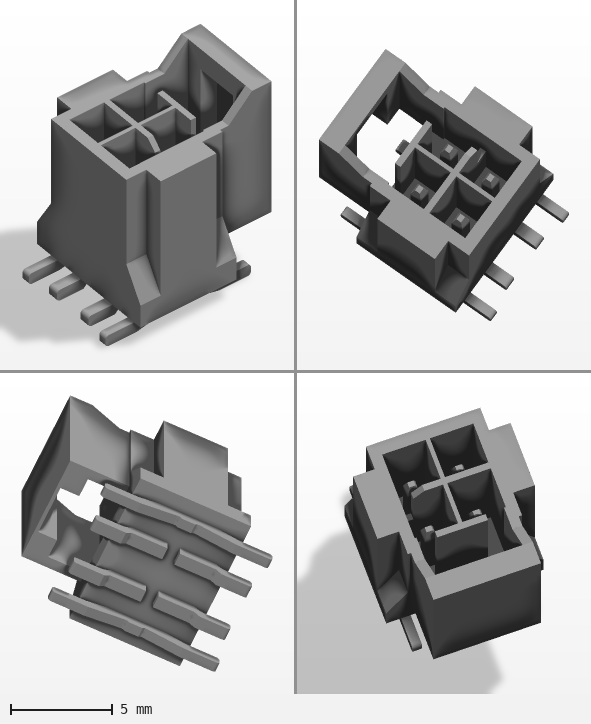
import cadquery as cq

total_width = 8.22
total_length = 10.75
total_height = 11.16

housing_length = 6.0
housing_bottom = 1.0
housing_top = 9.69
housing_back = housing_length / 2

relief_depth = 1.13
relief_length = 1.26
relief_ramp_bottom = 2.4
relief_ramp_top = 4.32

bail_width = 5.62
bail_opening_width = 4.58
bail_wall = 1.2
bail_bottom = 2.82
bail_window_width = 2.58
bail_window_top = 9.87
bail_window_skin = 0.19

cavity_width = 4.77
cavity_length = 4.66
cavity_floor = bail_bottom
lengthwise_partition = 0.22
crosswise_partition = 0.33
guard_width = 2.66
guard_thickness = 0.33
gap_start = 1.08
gap_chamfer = 0.58
gap_bottom = (cavity_floor + housing_top) / 2

pin_pitch = 2.5
pin_size = 0.64
pin_top = 7.25
pin_tip_height = 0.7
pin_tip_width = 0.33
pin_tip_length = 0.28

foot_height = 0.68
foot_radius = 0.2
foot_inner_end = 2.59
lead_underside = 0.3
signal_lead_reach = 4.25
signal_lead_inner_end = 0.33
signal_bend_start = 2.9
signal_bend_end = 2.3
anchor_spacing = 6.09
anchor_width = 0.5
anchor_slope_start = 2.72
anchor_top_half = 1.58
anchor_tab_half = 0.36
anchor_notch_half = 0.48
anchor_slope_half = 0.59
anchor_notch_top = 0.44

anchor_reach = 4.54
bail_back = total_length - anchor_reach


def block(x_range, y_range, z_range):
    """Box spanning the given ranges along each axis."""
    corners = list(zip(x_range, y_range, z_range))
    size = [high - low for low, high in zip(*corners)]
    return cq.Workplane("XY").box(*size, centered=False).translate(corners[0])


def centred(width):
    """Range of the given width about zero."""
    return (-width / 2, width / 2)


def along_x(outline, x_middle, width):
    """Extrude a closed (Y, Z) outline along X, centred on x_middle."""
    profile = cq.Workplane("YZ").polyline(outline).close()
    return profile.extrude(width / 2, both=True).translate((x_middle, 0, 0))


def housing_block():
    """Solid housing with a relief, ramped at its lower end, at each upright corner."""
    body = block(centred(total_width), centred(housing_length), (housing_bottom, housing_top))
    outer = total_width / 2
    inner = outer - relief_depth
    relief = (
        cq.Workplane("XZ", origin=(0, housing_back, 0))
        .polyline([
            (outer, relief_ramp_bottom),
            (inner, relief_ramp_top),
            (inner, housing_top),
            (outer, housing_top),
        ])
        .close()
        .extrude(relief_length)
    )
    back_pair = relief.union(relief.mirror("YZ"))
    return body.cut(back_pair).cut(back_pair.mirror("XZ"))


def latch_bail():
    """U-shaped bail with sloping arm tops and a window recess in its inner face."""
    wall_front = bail_back - bail_wall
    slope_run = total_height - housing_top
    outline = [
        (housing_back, bail_bottom),
        (bail_back, bail_bottom),
        (bail_back, total_height),
        (wall_front, total_height),
        (wall_front - slope_run, housing_top),
        (housing_back, housing_top),
    ]
    opening = block(centred(bail_opening_width), (housing_back, wall_front), (bail_bottom, total_height))
    window = block(
        centred(bail_window_width),
        (wall_front, bail_back - bail_window_skin),
        (bail_bottom, bail_window_top),
    )
    return along_x(outline, 0, bail_width).cut(opening).cut(window)


def cavity():
    """Open-topped cavity with a passage through the back wall into the bail."""
    depth = (cavity_floor, housing_top)
    chamber = block(centred(cavity_width), centred(cavity_length), depth)
    passage = block(centred(bail_opening_width), (0, housing_back), depth)
    return chamber.union(passage)


def partitions():
    """Cross-shaped partition with a guard wall at the back and a chamfered gap at +X."""
    height = (cavity_floor, housing_top)
    guard_front = cavity_length / 2
    lengthwise = block(centred(lengthwise_partition), (-guard_front, guard_front), height)
    crosswise = block(centred(cavity_width), centred(crosswise_partition), height)
    guard = block(centred(guard_width), (guard_front, guard_front + guard_thickness), height)
    gap_end = gap_start + gap_chamfer
    gap = (
        cq.Workplane("XZ")
        .polyline([
            (gap_start, housing_top),
            (gap_end, housing_top - gap_chamfer),
            (gap_end, gap_bottom),
            (cavity_width / 2, gap_bottom),
            (cavity_width / 2, housing_top),
        ])
        .close()
        .extrude(crosswise_partition / 2, both=True)
    )
    return lengthwise.union(crosswise.cut(gap)).union(guard)


def signal_contact():
    """Pin with a tapered tip and a cranked lead running towards +Y, at X = 0."""
    pin_y = pin_pitch / 2
    shoulder = pin_top - pin_tip_height
    shank = block(
        centred(pin_size),
        (pin_y - pin_size / 2, pin_y + pin_size / 2),
        (lead_underside, shoulder),
    )
    tip = (
        cq.Workplane("XY", origin=(0, pin_y, shoulder))
        .rect(pin_size, pin_size)
        .workplane(offset=pin_tip_height)
        .rect(pin_tip_width, pin_tip_length)
        .loft(ruled=True)
    )
    lead = (
        cq.Workplane("YZ")
        .moveTo(signal_lead_reach, 0)
        .lineTo(signal_lead_reach, foot_height)
        .lineTo(signal_bend_start, foot_height)
        .tangentArcPoint((signal_bend_end, housing_bottom), relative=False)
        .lineTo(signal_lead_inner_end, housing_bottom)
        .lineTo(signal_lead_inner_end, lead_underside)
        .lineTo(foot_inner_end - lead_underside, lead_underside)
        .lineTo(foot_inner_end, 0)
        .close()
        .extrude(pin_size / 2, both=True)
        .faces(">Y")
        .edges("|X")
        .fillet(foot_radius)
    )
    return lead.union(shank).union(tip)


def anchor_lead(x_middle):
    """Anchor bar under the housing with a foot at both ends."""
    half_outline = [
        (anchor_top_half, housing_bottom),
        (anchor_slope_start, foot_height),
        (anchor_reach, foot_height),
        (anchor_reach, 0),
        (foot_inner_end, 0),
        (anchor_slope_half, anchor_notch_top),
        (anchor_notch_half, anchor_notch_top),
        (anchor_tab_half, lead_underside),
    ]
    other_half = [(-y, z) for y, z in reversed(half_outline)]
    bar = along_x(half_outline + other_half, x_middle, anchor_width)
    return bar.faces("<Y or >Y").edges("|X").fillet(foot_radius)


result = housing_block().union(latch_bail()).cut(cavity()).union(partitions())

back_contact = signal_contact()
front_contact = back_contact.mirror("XZ")
for side in (-1, 1):
    for contact in (back_contact, front_contact):
        result = result.union(contact.translate((side * pin_pitch / 2, 0, 0)))
    result = result.union(anchor_lead(side * anchor_spacing / 2))